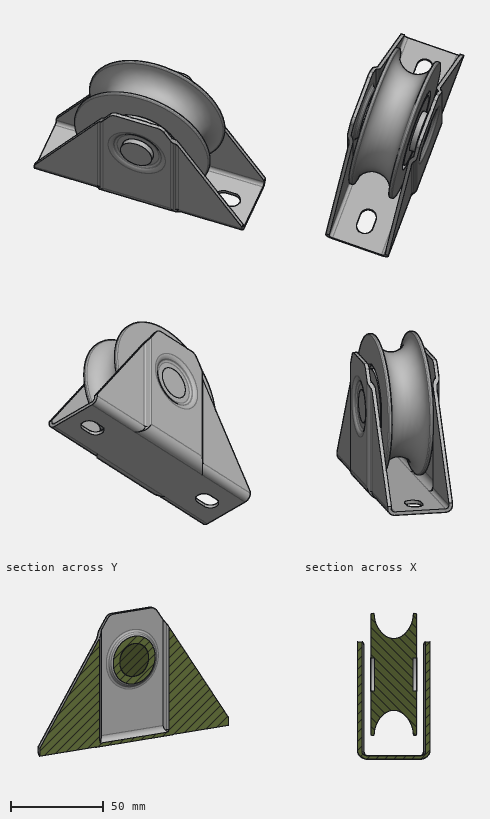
import cadquery as cq
import math

length = 120.0
sheet = 2.0
wall_width = 36.0
raised_width = 40.0
wall_y = wall_width / 2
raised_y = raised_width / 2
jog_depth = raised_y - wall_y
jog_top_x = 20.46
jog_radius = 2.0
bend_radius = 4.0
bracket_height = 73.0
end_height = 5.2
top_corner_x = 14.4
top_corner_radius = 4.7

bend_shift = math.tan(math.pi / 8)

slot_length = 14.0
slot_width = 9.0
slot_x = 45.0

axis_height = 46.0
dimple_diameter = 33.1
dimple_depth = jog_depth
dimple_rim_radius = 4.0
dimple_floor_radius = 2.0
dimple_blank_diameter = 37.2
floor_outside_y = raised_y - dimple_depth
floor_inside_y = floor_outside_y - sheet

wheel_diameter = 78.0
wheel_width = 25.1
groove_radius = 10.5
groove_depth = 10.5
rim_fillet = 0.6
bearing_diameter = 40.0
recess_diameter = 45.0
recess_depth = 2.0
pin_diameter = 18.0
pin_projection = 1.1
spacer_diameter = 22.5


def disc(diameter, start_y, end_y):
    """Cylinder on the wheel axis between two positions along Y."""
    return (
        cq.Workplane("XZ", origin=(0, start_y, axis_height))
        .circle(diameter / 2)
        .extrude(start_y - end_y)
    )


def ring(diameter, start_y, end_y):
    """Disc with a hole that fits the pin."""
    return disc(diameter, start_y, end_y).cut(disc(pin_diameter, start_y, end_y))


def channel_block(half_width, bottom, radius):
    """Full-length block with its two long lower edges rounded."""
    return (
        cq.Workplane("XY", origin=(0, 0, bottom))
        .rect(length, 2 * half_width)
        .extrude(bracket_height - bottom)
        .edges("|X and <Z")
        .fillet(radius)
    )


def raised_block(inset):
    """Middle block bounded by the raised walls and the 45 degree jog faces, inset from outside."""
    half_width = raised_y - inset
    corner_x = jog_top_x - inset * bend_shift
    middle_x = corner_x + half_width
    plan = [
        (middle_x, 0),
        (corner_x, half_width),
        (-corner_x, half_width),
        (-middle_x, 0),
        (-corner_x, -half_width),
        (corner_x, -half_width),
    ]
    prism = cq.Workplane("XY").polyline(plan).close().extrude(bracket_height)
    if inset == 0:
        prism = prism.edges("|Z").edges("<Y or >Y").fillet(jog_radius)
    return prism.intersect(channel_block(half_width, inset, bend_radius + jog_depth - inset))


def jog_foot_x(inset):
    """Distance from the middle to where a jog face meets the plain wall."""
    return jog_top_x + jog_depth - inset * bend_shift


def foot_roundings(inset):
    """Slivers that round the hollow corners at the feet of the jogs, above the base bends."""
    foot_x = jog_foot_x(inset)
    foot_y = wall_y - inset
    reach = jog_radius * bend_shift
    diagonal_reach = reach * math.sin(math.pi / 4)
    middle = (
        foot_x + reach - jog_radius * math.sin(math.pi / 8),
        foot_y + jog_radius * (1 - math.cos(math.pi / 8)),
    )
    sliver = (
        cq.Workplane("XY", origin=(0, 0, bend_radius))
        .moveTo(foot_x, foot_y)
        .lineTo(foot_x + reach, foot_y)
        .threePointArc(middle, (foot_x - diagonal_reach, foot_y + diagonal_reach))
        .close()
        .extrude(bracket_height - bend_radius)
    )
    pair = sliver.union(sliver.mirror("YZ"))
    return pair.union(pair.mirror("XZ"))


def jogged_block(inset):
    """Block bounded by the walls, jogs and base, inset from the outer surface of the sheet."""
    plain = channel_block(wall_y - inset, inset, bend_radius - inset)
    raised = raised_block(inset)
    if inset > 0:
        raised = raised.intersect(cq.Workplane("XY").box(2 * jog_foot_x(inset), length, length * 2))
    return plain.union(raised).union(foot_roundings(inset))


def side_outline():
    """Outline of the walls seen along Y: a flat top with slopes down to the ends."""
    half_length = length / 2
    return (
        cq.Workplane("XZ")
        .polyline([
            (-half_length, 0),
            (half_length, 0),
            (half_length, end_height),
            (top_corner_x, bracket_height),
            (-top_corner_x, bracket_height),
            (-half_length, end_height),
        ])
        .close()
        .extrude(raised_width, both=True)
        .edges("|Y and >Z")
        .fillet(top_corner_radius)
    )


def dimple():
    """Pressed sheet around the pin on the -Y wall: a revolved step with rounded bends."""
    rim_corner = dimple_diameter / 2 - dimple_rim_radius * bend_shift
    floor_corner = rim_corner - dimple_depth
    inside_shift = sheet * bend_shift
    blank_radius = dimple_blank_diameter / 2
    step = (
        cq.Workplane("XY")
        .polyline([
            (0, -floor_outside_y),
            (floor_corner, -floor_outside_y),
            (rim_corner, -raised_y),
            (blank_radius, -raised_y),
            (blank_radius, sheet - raised_y),
            (rim_corner + inside_shift, sheet - raised_y),
            (floor_corner + inside_shift, -floor_inside_y),
            (0, -floor_inside_y),
        ])
        .close()
        .revolve(360, (0, 0, 0), (0, 1, 0))
    )
    bends = [
        (rim_corner, dimple_rim_radius),
        (floor_corner, dimple_floor_radius),
        (rim_corner + inside_shift, dimple_rim_radius - sheet),
        (floor_corner + inside_shift, dimple_floor_radius),
    ]
    for corner, radius in bends:
        circles = step.edges("%CIRCLE")
        step = circles.filter(lambda edge: abs(edge.radius() - corner) < 0.01).fillet(radius)
    return step.translate((0, 0, axis_height))


def make_bracket():
    bracket = jogged_block(0).cut(jogged_block(sheet)).intersect(side_outline())
    slots = (
        cq.Workplane("XY")
        .pushPoints([(-slot_x, 0), (slot_x, 0)])
        .slot2D(slot_length, slot_width)
        .extrude(sheet)
    )
    pressed = dimple()
    return (
        bracket.cut(slots)
        .cut(disc(dimple_blank_diameter, -raised_y, raised_y))
        .union(pressed)
        .union(pressed.mirror("XZ"))
        .cut(disc(pin_diameter, -raised_y, raised_y))
    )


def make_wheel():
    """Wheel with a rounded rope groove, small rim fillets and a bearing bore recessed at both sides."""
    radius = wheel_diameter / 2
    bore = bearing_diameter / 2
    side_y = wheel_width / 2
    wheel = (
        cq.Workplane("XY")
        .moveTo(bore, -side_y)
        .lineTo(radius, -side_y)
        .lineTo(radius, -groove_radius)
        .threePointArc((radius - groove_depth, 0), (radius, groove_radius))
        .lineTo(radius, side_y)
        .lineTo(bore, side_y)
        .close()
        .revolve(360, (0, 0, 0), (0, 1, 0))
        .edges(cq.selectors.RadiusNthSelector(-1))
        .fillet(rim_fillet)
    )
    wheel = wheel.translate((0, 0, axis_height))
    for side in (-1, 1):
        wheel = wheel.cut(disc(recess_diameter, side * side_y, side * (side_y - recess_depth)))
    return wheel


def make_bearing(side):
    """Plain ring from the middle of the wheel to its face; side is -1 or 1 along Y."""
    return ring(bearing_diameter, 0, side * wheel_width / 2)


def make_pin():
    """Plain pin, proud of the -Y wall and flush with the +Y dimple floor."""
    return disc(pin_diameter, -raised_y - pin_projection, floor_outside_y)


def make_spacer(side):
    """Ring between the bearing and the dimple floor; side is -1 or 1 along Y."""
    return ring(spacer_diameter, side * wheel_width / 2, side * floor_inside_y)


bracket = make_bracket()
wheel = make_wheel()
pin = make_pin()
bearings = [make_bearing(side) for side in (-1, 1)]
spacers = [make_spacer(side) for side in (-1, 1)]

bodies = [bracket, wheel, pin, *bearings, *spacers]
result = cq.Compound.makeCompound([solid for body in bodies for solid in body.solids().vals()])